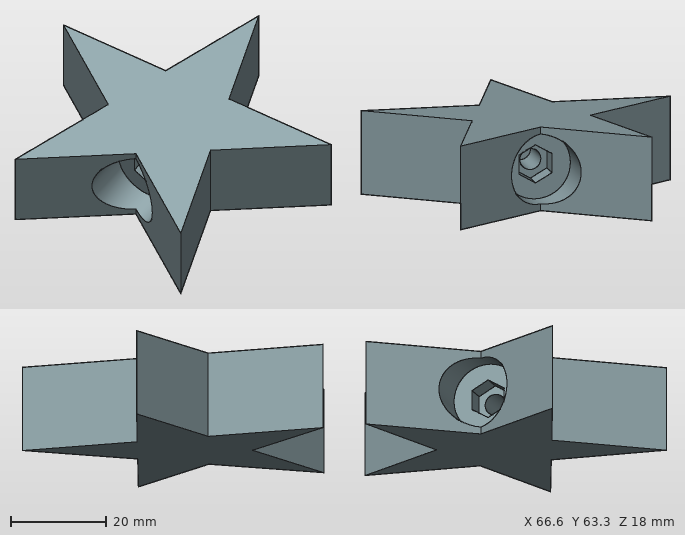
import cadquery as cq
import math

TIP_RADIUS = 35.0
POINTS = 5
THICKNESS = 18.0
STEP_ANGLE = math.pi / POINTS
NOTCH_RADIUS = TIP_RADIUS * math.cos(2 * STEP_ANGLE) / math.cos(STEP_ANGLE)
LOWER_TIPS_Y = -TIP_RADIUS * math.cos(STEP_ANGLE)

BORE_DIAMETER = 15.0
BORE_DEPTH = 20.0
HEX_SIDES = 6
HEX_ACROSS_CORNERS = 8.2
HEX_DEPTH = 5.0
PILOT_DIAMETER = 4.5
PILOT_DEPTH = 10.0

BORE_FLOOR_Y = LOWER_TIPS_Y + BORE_DEPTH
HEX_FLOOR_Y = BORE_FLOOR_Y + HEX_DEPTH


def star_plate():
    """Star with one tip on +Y, centred on mid-thickness."""
    corners = []
    for i in range(2 * POINTS):
        radius = TIP_RADIUS if i % 2 == 0 else NOTCH_RADIUS
        angle = math.pi / 2 + i * STEP_ANGLE
        corners.append((radius * math.cos(angle), radius * math.sin(angle)))
    return cq.Workplane("XY").polyline(corners).close().extrude(THICKNESS / 2, both=True)


def plane_at(y):
    """Workplane facing -Y at the given Y, with its local x along +X."""
    return cq.Workplane("XZ", origin=(0, y, 0))


def entry_bore():
    """Round bore, open on the -Y side and ending in a flat floor."""
    return plane_at(BORE_FLOOR_Y).circle(BORE_DIAMETER / 2).extrude(BORE_DEPTH)


def hex_pocket():
    """Hexagonal pocket in the bore floor, with corners pointing up and down."""
    turned_plane = plane_at(BORE_FLOOR_Y).transformed(rotate=(0, 0, 90))
    return turned_plane.polygon(HEX_SIDES, HEX_ACROSS_CORNERS).extrude(-HEX_DEPTH)


def pilot_hole():
    """Round blind hole in the floor of the hexagonal pocket."""
    return plane_at(HEX_FLOOR_Y).circle(PILOT_DIAMETER / 2).extrude(-PILOT_DEPTH)


result = star_plate().cut(entry_bore()).cut(hex_pocket()).cut(pilot_hole())